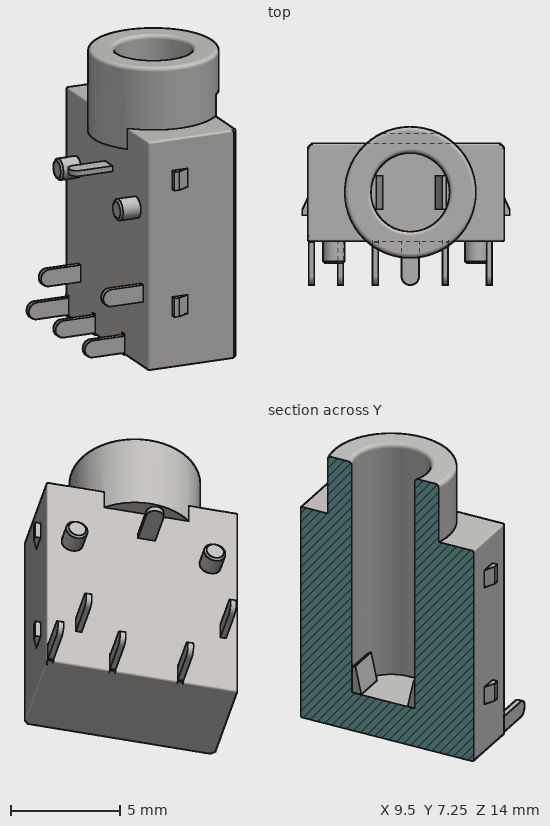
import cadquery as cq


TOTAL_HEIGHT = 14.0
BODY_WIDTH = 9.0
BODY_DEPTH = 4.5
BODY_HEIGHT = 11.0
BODY_CENTER_X = -0.2
BODY_FRONT_Y = -BODY_DEPTH / 2
BODY_BACK_Y = BODY_DEPTH / 2
BODY_LEFT_X = BODY_CENTER_X - BODY_WIDTH / 2
BODY_RIGHT_X = BODY_CENTER_X + BODY_WIDTH / 2
EDGE_FILLET = 0.1
BACK_CORNER_CHAMFER = 0.2

BARREL_DIAMETER = 6.0
BARREL_LENGTH = 4.0
RIM_FILLET = 0.2
BACK_STEP_Y = 2.7
OUTER_STEP_DEPTH = 1.8
INNER_STEP_DEPTH = 2.0
BORE_DIAMETER = 3.6
BORE_FLOOR_Z = 2.0

CONTACT_WIDTH = 1.53
CONTACT_HEIGHT = 1.4
LEFT_CONTACT_CREST_X = -1.57
LEFT_CONTACT_TOE_X = -1.26
RIGHT_CONTACT_TOE_X = 1.15
RIGHT_CONTACT_CREST_X = 1.45
RIGHT_CONTACT_HEEL_X = 1.65
RIGHT_CONTACT_HEEL_HEIGHT = 1.26

CLIP_HEIGHT = 0.9
CLIP_PROJECTION = 0.25
CLIP_RAMP_START_Y = -0.25
CLIP_RAMP_END_Y = -0.8
CLIP_FRONT_Y = -1.05
CLIP_CENTERS_Z = (2.95, 9.05)

PEG_DIAMETER = 1.01
PEG_LENGTH = 1.0
PEG_CHAMFER = 0.1
PEG_Z = 7.5
PEG_CENTERS_X = (-3.5, 3.0)

PIN_WIDTH = 0.81
PIN_THICKNESS = 0.27
PIN_LENGTH = 2.0
PIN_EMBED = 0.28
BOTTOM_PIN_Z = 0.5
BOTTOM_PIN_CENTERS_X = (-4.52, -1.6, 1.6)
UPPER_PIN_CENTERS_XZ = ((-3.19, 2.49), (3.61, 3.57))
CROSS_PIN_Z = 8.58
ROOT_HEIGHT = 1.01
ROOT_PROJECTION = 0.03


def make_body():
    """Housing block with chamfered back corners and small fillets elsewhere."""
    body = cq.Workplane("XY").center(BODY_CENTER_X, 0).rect(BODY_WIDTH, BODY_DEPTH).extrude(BODY_HEIGHT)
    body = body.edges("|Z and >Y").chamfer(BACK_CORNER_CHAMFER)
    body = body.edges("|Z and <Y").fillet(EDGE_FILLET)
    return body.faces("<Z or >Z").edges().fillet(EDGE_FILLET)


def make_barrel():
    """Round sleeve, stepped at the back down to the plane of the housing."""
    barrel = (
        cq.Workplane("XY", origin=(0, 0, TOTAL_HEIGHT))
        .circle(BARREL_DIAMETER / 2)
        .extrude(-BARREL_LENGTH)
        .faces(">Z")
        .edges()
        .fillet(RIM_FILLET)
    )
    bottom_z = TOTAL_HEIGHT - BARREL_LENGTH
    outer_y = BARREL_DIAMETER / 2
    back_steps = (
        cq.Workplane("YZ")
        .moveTo(BODY_BACK_Y, bottom_z)
        .lineTo(BODY_BACK_Y, TOTAL_HEIGHT - INNER_STEP_DEPTH)
        .lineTo(BACK_STEP_Y, TOTAL_HEIGHT - INNER_STEP_DEPTH)
        .lineTo(BACK_STEP_Y, TOTAL_HEIGHT - OUTER_STEP_DEPTH)
        .lineTo(outer_y, TOTAL_HEIGHT - OUTER_STEP_DEPTH)
        .lineTo(outer_y, bottom_z)
        .close()
        .extrude(BARREL_DIAMETER / 2, both=True)
    )
    return barrel.cut(back_steps)


def make_bore():
    """Blind plug hole with a rounded mouth, as a revolved cutter."""
    radius = BORE_DIAMETER / 2
    return (
        cq.Workplane("XZ")
        .moveTo(0, BORE_FLOOR_Z)
        .lineTo(radius, BORE_FLOOR_Z)
        .lineTo(radius, TOTAL_HEIGHT - RIM_FILLET)
        .radiusArc((radius + RIM_FILLET, TOTAL_HEIGHT), RIM_FILLET)
        .lineTo(0, TOTAL_HEIGHT)
        .close()
        .revolve(360, (0, 0, 0), (0, 1, 0))
    )


def make_contacts():
    """Two spring contacts: a ramp against the left bore wall and a ridge on the right."""
    top_z = BORE_FLOOR_Z + CONTACT_HEIGHT
    left = (
        cq.Workplane("XZ")
        .moveTo(-BORE_DIAMETER / 2, BORE_FLOOR_Z)
        .lineTo(LEFT_CONTACT_TOE_X, BORE_FLOOR_Z)
        .lineTo(LEFT_CONTACT_CREST_X, top_z)
        .lineTo(-BORE_DIAMETER / 2, top_z)
        .close()
        .extrude(CONTACT_WIDTH / 2, both=True)
    )
    right = (
        cq.Workplane("XZ")
        .moveTo(RIGHT_CONTACT_TOE_X, BORE_FLOOR_Z)
        .lineTo(RIGHT_CONTACT_CREST_X, top_z)
        .lineTo(RIGHT_CONTACT_HEEL_X, BORE_FLOOR_Z + RIGHT_CONTACT_HEEL_HEIGHT)
        .lineTo(RIGHT_CONTACT_HEEL_X, BORE_FLOOR_Z)
        .close()
        .extrude(CONTACT_WIDTH / 2, both=True)
    )
    return left.union(right)


def make_clip(wall_x, outward, center_z):
    """Ramped snap clip on a side wall; outward is -1 for left and +1 for right."""
    tip_x = wall_x + outward * CLIP_PROJECTION
    return (
        cq.Workplane("XY", origin=(0, 0, center_z))
        .moveTo(wall_x, CLIP_RAMP_START_Y)
        .lineTo(tip_x, CLIP_RAMP_END_Y)
        .lineTo(tip_x, CLIP_FRONT_Y)
        .lineTo(wall_x, CLIP_FRONT_Y)
        .close()
        .extrude(CLIP_HEIGHT / 2, both=True)
    )


def make_peg(center_x):
    """Locating peg with a chamfered end."""
    return (
        cq.Workplane("XZ", origin=(center_x, BODY_FRONT_Y, PEG_Z))
        .circle(PEG_DIAMETER / 2)
        .extrude(PEG_LENGTH)
        .faces("<Y")
        .edges()
        .chamfer(PEG_CHAMFER)
    )


def make_pin(plane, origin):
    """Flat pin with a full-round tip, outlined on a plane whose first axis is Y."""
    radius = PIN_WIDTH / 2
    tip_y = BODY_FRONT_Y - PIN_LENGTH
    return (
        cq.Workplane(plane, origin=origin)
        .moveTo(BODY_FRONT_Y + PIN_EMBED, radius)
        .lineTo(tip_y + radius, radius)
        .threePointArc((tip_y, 0), (tip_y + radius, -radius))
        .lineTo(BODY_FRONT_Y + PIN_EMBED, -radius)
        .close()
        .extrude(PIN_THICKNESS / 2, both=True)
    )


def make_root(center_x):
    """Pin root standing slightly proud of the housing front, down to the bottom plane."""
    root_depth = PIN_EMBED + ROOT_PROJECTION
    root = cq.Workplane("XY").box(PIN_THICKNESS, root_depth, ROOT_HEIGHT, centered=(True, False, False))
    return root.translate((center_x, BODY_FRONT_Y - ROOT_PROJECTION, 0))


result = make_body().union(make_barrel()).cut(make_bore()).union(make_contacts())

for clip_z in CLIP_CENTERS_Z:
    result = result.union(make_clip(BODY_LEFT_X, -1, clip_z))
    result = result.union(make_clip(BODY_RIGHT_X, 1, clip_z))

for peg_x in PEG_CENTERS_X:
    result = result.union(make_peg(peg_x))

for pin_x in BOTTOM_PIN_CENTERS_X:
    result = result.union(make_root(pin_x))
    result = result.union(make_pin("YZ", (pin_x, 0, BOTTOM_PIN_Z)))

for pin_x, pin_z in UPPER_PIN_CENTERS_XZ:
    result = result.union(make_pin("YZ", (pin_x, 0, pin_z)))

result = result.union(make_pin("YX", (0, 0, CROSS_PIN_Z)))